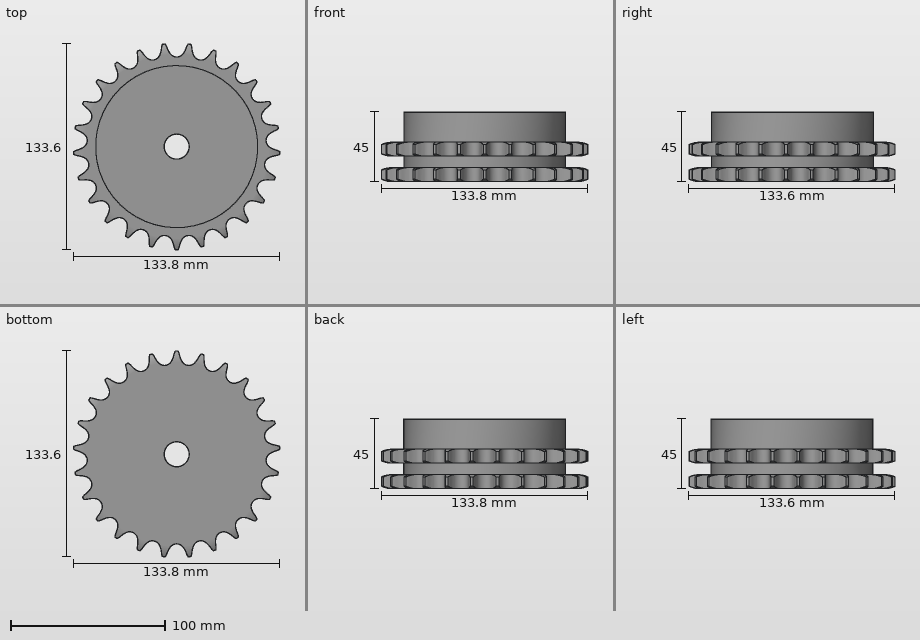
import cadquery as cq
import math

TEETH = 25
ROLLER_DIAMETER = 10.2
PITCH_DIAMETER = 126.6
TIP_DIAMETER = 134.0
SEAT_CLEARANCE = 0.04
PLATE_THICKNESS = 9.1
PLATE_SPACING = 16.5
SIDE_RELIEF_RADIUS = 16.0
SIDE_RELIEF_START = 60.1
HUB_DIAMETER = 105.0
BORE_DIAMETER = 16.0
TOTAL_HEIGHT = 45.0

TOOTH_PITCH = 360.0 / TEETH
TIP_RADIUS = TIP_DIAMETER / 2
PITCH_RADIUS = PITCH_DIAMETER / 2
PLATE_LEVELS = (0.0, PLATE_SPACING)

SEAT_RADIUS = 1.005 * ROLLER_DIAMETER / 2 + SEAT_CLEARANCE
SEAT_HALF_ANGLE = 90 - (35 + 60 / TEETH)
WORKING_RADIUS = 1.3025 * ROLLER_DIAMETER + SEAT_CLEARANCE
WORKING_ANGLE = 18 - 56 / TEETH
PRESSURE_ANGLE = 17 - 64 / TEETH
STRAIGHT_LENGTH = ROLLER_DIAMETER * (
    1.4 * math.sin(math.radians(PRESSURE_ANGLE)) - 0.8 * math.sin(math.radians(WORKING_ANGLE))
)
TOPPING_RADIUS = ROLLER_DIAMETER * (
    0.8 * math.cos(math.radians(WORKING_ANGLE))
    + 1.4 * math.cos(math.radians(PRESSURE_ANGLE))
    - 1.3025
) - SEAT_CLEARANCE
TOPPING_ANGLE = 24.0


def polar(center, radius, angle):
    """Point at a distance and an angle in degrees from a centre."""
    turn = math.radians(angle)
    return (center[0] + radius * math.cos(turn), center[1] + radius * math.sin(turn))


def mirrored(point):
    """Point reflected across the Y axis."""
    return (-point[0], point[1])


def gap_cutter():
    """Prism of the space between two teeth, centred on the +Y axis."""
    seat_center = (0.0, PITCH_RADIUS)
    root = polar(seat_center, SEAT_RADIUS, -90)
    working_start = -90 + SEAT_HALF_ANGLE
    seat_end = polar(seat_center, SEAT_RADIUS, working_start)

    working_center = polar(seat_end, WORKING_RADIUS, working_start + 180)
    working_middle = polar(working_center, WORKING_RADIUS, working_start + WORKING_ANGLE / 2)
    normal = working_start + WORKING_ANGLE
    working_end = polar(working_center, WORKING_RADIUS, normal)
    straight_end = polar(working_end, STRAIGHT_LENGTH, normal + 90)

    topping_center = polar(straight_end, TOPPING_RADIUS, normal)
    topping_start = normal + 180
    topping_middle = polar(topping_center, TOPPING_RADIUS, topping_start - TOPPING_ANGLE / 2)
    topping_end = polar(topping_center, TOPPING_RADIUS, topping_start - TOPPING_ANGLE)

    return (
        cq.Workplane("XY")
        .moveTo(*mirrored(seat_end))
        .threePointArc(root, seat_end)
        .threePointArc(working_middle, working_end)
        .lineTo(*straight_end)
        .threePointArc(topping_middle, topping_end)
        .lineTo(*mirrored(topping_end))
        .threePointArc(mirrored(topping_middle), mirrored(straight_end))
        .lineTo(*mirrored(working_end))
        .threePointArc(mirrored(working_middle), mirrored(seat_end))
        .close()
        .extrude(PLATE_THICKNESS)
    )


def relief_depth(radius):
    """How far a plate face has curved inwards at a given radius."""
    run = radius - SIDE_RELIEF_START
    return SIDE_RELIEF_RADIUS - math.sqrt(SIDE_RELIEF_RADIUS**2 - run**2)


def relieved_blank():
    """Disc whose two faces curve towards each other from the relief radius outwards."""
    middle_radius = (SIDE_RELIEF_START + TIP_RADIUS) / 2
    middle_depth = relief_depth(middle_radius)
    tip_depth = relief_depth(TIP_RADIUS)
    return (
        cq.Workplane("XZ")
        .lineTo(SIDE_RELIEF_START, 0)
        .threePointArc((middle_radius, middle_depth), (TIP_RADIUS, tip_depth))
        .lineTo(TIP_RADIUS, PLATE_THICKNESS - tip_depth)
        .threePointArc(
            (middle_radius, PLATE_THICKNESS - middle_depth),
            (SIDE_RELIEF_START, PLATE_THICKNESS),
        )
        .lineTo(0, PLATE_THICKNESS)
        .close()
        .revolve(360, (0, 0, 0), (0, 1, 0))
    )


def toothed_plate():
    """One sprocket row: a relieved blank with the tooth gaps cut around its rim."""
    plate = relieved_blank()
    cutter = gap_cutter()
    for index in range(TEETH):
        plate = plate.cut(cutter.rotate((0, 0, 0), (0, 0, 1), index * TOOTH_PITCH))
    return plate


result = cq.Workplane("XY").circle(HUB_DIAMETER / 2).extrude(TOTAL_HEIGHT)
sprocket_row = toothed_plate()
for level in PLATE_LEVELS:
    result = result.union(sprocket_row.translate((0, 0, level)))
result = result.faces(">Z").workplane().hole(BORE_DIAMETER)